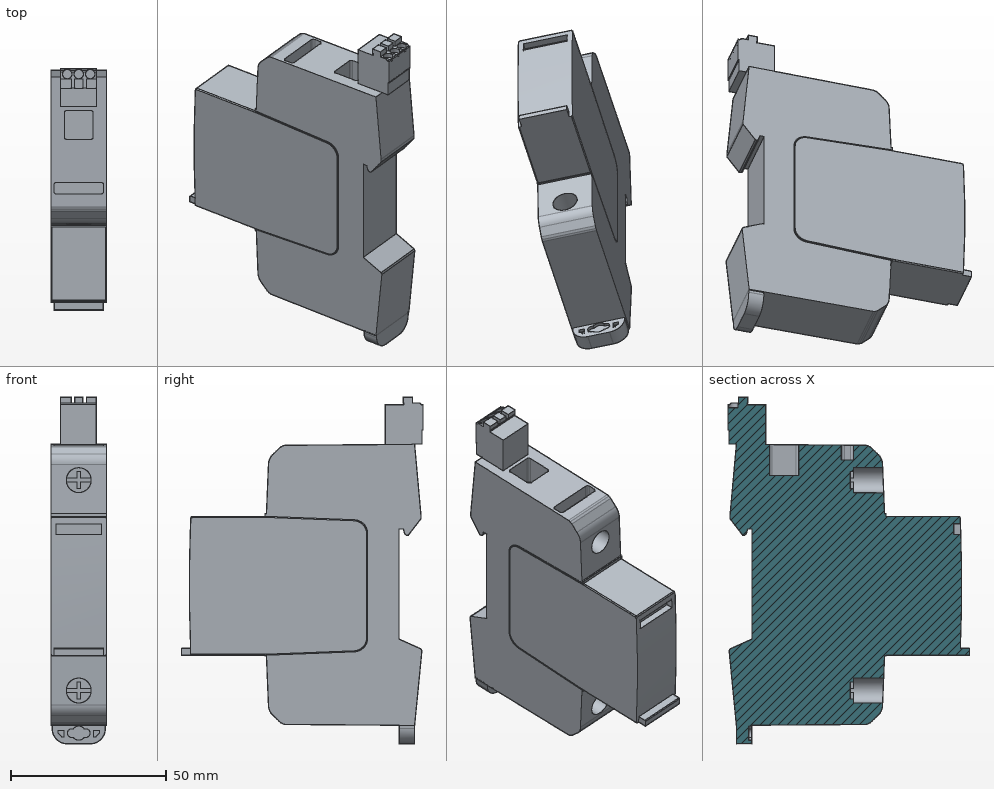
import cadquery as cq


width = 18.0
half_width = width / 2

housing_top_z = 45.25
housing_back_y = 5.05
shoulder_start_y = -36.7
shoulder_start_z = 44.95
shoulder_mid_y = -37.4
shoulder_mid_z = 44.75
shoulder_end_y = -38.2
shoulder_end_z = 44.3
bevel_end_y = -40.45
bevel_end_z = 42.1
face_start_y = -42.05
face_start_z = 38.65
face_bulge_y = -41.7
face_bulge_z = 40.4
face_end_y = -42.7
foot_back_y = 7.1
lower_hook_point = (7.4, -21.2)
lower_hook_top_z = -20.6
lower_seat_z = -17.4
upper_seat_z = 17.9
upper_hook_lip_y = 1.4
upper_hook_nose_start = (1.8, 16.4)
upper_hook_nose_inner_y = 2.35
upper_hook_nose_outer_y = 3.0
upper_hook_nose_z = 15.95
upper_hook_slope_z = 21.3
upper_hook_back_z = 22.4

module_mid_z = -0.3
module_half_height = 22.35
module_back_half_height = 21.1
module_back_y = -10.1
module_corner_radius = 4.5
module_front_y = -67.0
module_bulge = 0.5
module_edge_chamfer = 0.35
rim_front_y = -43.2
rim_half_height = 22.95

grip_width = 14.6
grip_height = 3.4
grip_mid_z = 17.95
grip_depth = 2.0
latch_width = 15.8
latch_height = 2.3
latch_front_y = -70.06
latch_chamfer = 0.3

screw_z_positions = (33.7, -34.0)
screw_hole_diameter = 8.0
screw_hole_depth = 10.0
screw_slot_height = 1.3
cross_slot_width = 1.2
cross_slot_height = 5.4
screw_slot_depth = 1.0

wire_opening_size = 9.3
wire_opening_mid_y = -10.35
wire_opening_radius = 0.8
wire_opening_depth = 10.0
marker_slot_width = 16.0
marker_slot_length = 3.8
marker_slot_mid_y = -30.7
marker_slot_radius = 0.9
marker_slot_depth = 5.0

plug_left_x = -5.9
plug_right_x = 5.65
plug_back_y = 7.78
plug_foot_back_y = 7.45
plug_front_y = -4.48
plug_step_z = 49.8
plug_top_z = 58.0
plug_ledge_z = 58.55
plug_chamfer = 0.55
button_back_y = 4.4
button_front_y = 1.3
plug_ledge_front_y = 1.5
button_top_z = 60.41
button_x_ranges = ((plug_left_x, -2.35), (-1.3, 1.3), (2.45, plug_right_x))
wire_entry_diameter = 3.0
wire_entry_pitch = 3.7
wire_entry_y = 6.0
wire_entry_depth = 1.5

clip_bottom_z = -51.2
clip_half_width = 8.6
clip_corner_radius = 5.0
clip_root_z = -44.0
clip_recess_z = -47.7
clip_recess_depth = 1.0
clip_slot_length = 7.3
clip_slot_height = 2.8
clip_bore_diameter = 4.5
clip_notch_outer_x = 6.6
clip_notch_inner_x = 4.8
clip_notch_foot_x = 5.5
clip_notch_side_z = -47.7
clip_notch_top_z = -46.9
clip_notch_bottom_z = -48.9


def box(x_range, y_range, z_range):
    """Box spanning the given limits."""
    sizes = [high - low for low, high in (x_range, y_range, z_range)]
    corner = (x_range[0], y_range[0], z_range[0])
    return cq.Workplane("XY").box(*sizes, centered=False).translate(corner)


def centered(size, middle=0.0):
    """Limits of a length placed evenly about a middle."""
    return (middle - size / 2, middle + size / 2)


def side_sketch(left_x):
    """Plane for (Y, Z) outlines, extruded toward +X."""
    return cq.Workplane("YZ", origin=(left_x, 0, 0))


def front_sketch(y):
    """Plane for (X, Z) outlines; negative lengths extrude toward +Y."""
    return cq.Workplane("XZ", origin=(0, y, 0))


def make_housing():
    housing = (
        side_sketch(-half_width)
        .moveTo(housing_back_y, housing_top_z)
        .lineTo(shoulder_start_y, shoulder_start_z)
        .lineTo(shoulder_mid_y, shoulder_mid_z)
        .lineTo(shoulder_end_y, shoulder_end_z)
        .lineTo(bevel_end_y, bevel_end_z)
        .threePointArc((face_bulge_y, face_bulge_z), (face_start_y, face_start_z))
        .lineTo(face_end_y, rim_half_height)
        .lineTo(face_end_y, -rim_half_height)
        .lineTo(face_start_y, -face_start_z)
        .threePointArc((face_bulge_y, -face_bulge_z), (bevel_end_y, -bevel_end_z))
        .lineTo(shoulder_end_y, -shoulder_end_z)
        .lineTo(shoulder_mid_y, -shoulder_mid_z)
        .lineTo(shoulder_start_y, -shoulder_start_z)
        .lineTo(housing_back_y, -housing_top_z)
        .lineTo(*lower_hook_point)
        .lineTo(foot_back_y, lower_hook_top_z)
        .lineTo(0, lower_seat_z)
        .lineTo(0, upper_seat_z)
        .lineTo(upper_hook_lip_y, upper_seat_z)
        .lineTo(*upper_hook_nose_start)
        .lineTo(upper_hook_nose_inner_y, upper_hook_nose_z)
        .lineTo(upper_hook_nose_outer_y, upper_hook_nose_z)
        .lineTo(foot_back_y, upper_hook_slope_z)
        .lineTo(foot_back_y, upper_hook_back_z)
        .close()
        .extrude(width)
    )
    rim = box(
        (-half_width, half_width),
        (rim_front_y, module_back_y - module_corner_radius),
        (-rim_half_height, rim_half_height),
    )
    return housing.union(rim)


def make_module():
    top_z = module_mid_z + module_half_height
    bottom_z = module_mid_z - module_half_height
    module = (
        side_sketch(-half_width)
        .moveTo(module_back_y, module_mid_z + module_back_half_height)
        .lineTo(face_end_y, top_z)
        .lineTo(module_front_y, top_z)
        .threePointArc((module_front_y - module_bulge, module_mid_z), (module_front_y, bottom_z))
        .lineTo(face_end_y, bottom_z)
        .lineTo(module_back_y, module_mid_z - module_back_half_height)
        .close()
        .extrude(width)
    )
    module = module.edges("|X and >Y").fillet(module_corner_radius)
    return module.edges("|X").edges("<Y").edges(">Z").chamfer(module_edge_chamfer)


def make_grip_slot():
    return box(
        centered(grip_width),
        (module_front_y - 2 * module_bulge, module_front_y + grip_depth),
        centered(grip_height, grip_mid_z),
    )


def make_latch():
    bottom_z = module_mid_z - module_half_height
    latch = box(
        centered(latch_width),
        (latch_front_y, module_front_y + module_bulge),
        (bottom_z, bottom_z + latch_height),
    )
    return latch.edges(">Z and <Y").chamfer(latch_chamfer)


def make_screw_hole(z):
    """Round hole with the cross recess of the screw head at its bottom."""
    depth_to_slot = screw_hole_depth + screw_slot_depth
    hole = front_sketch(face_end_y).center(0, z).circle(screw_hole_diameter / 2).extrude(-screw_hole_depth)
    slot_tool = front_sketch(face_end_y).center(0, z)
    long_slot = slot_tool.rect(screw_hole_diameter, screw_slot_height).extrude(-depth_to_slot)
    round_limit = slot_tool.circle(screw_hole_diameter / 2).extrude(-depth_to_slot)
    short_slot = slot_tool.rect(cross_slot_width, cross_slot_height).extrude(-depth_to_slot)
    return hole.union(long_slot.intersect(round_limit)).union(short_slot)


def make_top_opening(size_x, size_y, mid_y, radius, depth):
    """Pocket with rounded corners sunk into the top face."""
    opening = box(
        centered(size_x),
        centered(size_y, mid_y),
        (housing_top_z - depth, housing_top_z),
    )
    return opening.edges("|Z").fillet(radius)


def make_plug():
    plug = (
        side_sketch(plug_left_x)
        .moveTo(plug_front_y, housing_top_z)
        .lineTo(plug_front_y, plug_top_z)
        .lineTo(plug_ledge_front_y, plug_top_z)
        .lineTo(plug_ledge_front_y, plug_ledge_z)
        .lineTo(plug_back_y - 2 * plug_chamfer, plug_ledge_z)
        .lineTo(plug_back_y - plug_chamfer, plug_top_z)
        .lineTo(plug_back_y, plug_top_z)
        .lineTo(plug_back_y, plug_step_z)
        .lineTo(plug_foot_back_y, plug_step_z)
        .lineTo(plug_foot_back_y, housing_top_z)
        .close()
        .extrude(plug_right_x - plug_left_x)
    )
    root = box((plug_left_x, plug_right_x), (plug_front_y, housing_back_y), (shoulder_start_z, housing_top_z))
    plug = plug.union(root)
    for x_range in button_x_ranges:
        button = box(x_range, (button_front_y, button_back_y), (plug_ledge_z, button_top_z))
        plug = plug.union(button)
    wire_entries = (
        cq.Workplane("XY", origin=(0, wire_entry_y, plug_ledge_z - wire_entry_depth))
        .rarray(wire_entry_pitch, wire_entry_pitch, len(button_x_ranges), 1)
        .circle(wire_entry_diameter / 2)
        .extrude(wire_entry_depth)
    )
    return plug.cut(wire_entries)


def make_clip():
    clip = box(
        (-clip_half_width, clip_half_width),
        (0, housing_back_y),
        (clip_bottom_z, clip_root_z),
    )
    clip = clip.edges("|Y and <Z").fillet(clip_corner_radius)
    recess = front_sketch(0).center(0, clip_recess_z)
    slot = recess.slot2D(clip_slot_length, clip_slot_height).extrude(-clip_recess_depth)
    bore = recess.circle(clip_bore_diameter / 2).extrude(-clip_recess_depth)
    clip = clip.cut(slot).cut(bore)
    for side in (-1, 1):
        notch = (
            front_sketch(0)
            .moveTo(side * clip_notch_outer_x, clip_notch_top_z)
            .lineTo(side * clip_notch_inner_x, clip_notch_top_z)
            .lineTo(side * clip_notch_inner_x, clip_notch_bottom_z)
            .lineTo(side * clip_notch_foot_x, clip_notch_bottom_z)
            .lineTo(side * clip_notch_outer_x, clip_notch_side_z)
            .close()
            .extrude(-clip_recess_depth)
        )
        clip = clip.cut(notch)
    return clip


module = make_module()
housing = make_housing().cut(module)
module = module.faces("<X or >X").edges("not(<Y)").chamfer(module_edge_chamfer)
module = module.cut(make_grip_slot()).union(make_latch())

for screw_z in screw_z_positions:
    housing = housing.cut(make_screw_hole(screw_z))
housing = housing.cut(
    make_top_opening(
        wire_opening_size, wire_opening_size, wire_opening_mid_y, wire_opening_radius, wire_opening_depth
    )
)
housing = housing.cut(
    make_top_opening(
        marker_slot_width, marker_slot_length, marker_slot_mid_y, marker_slot_radius, marker_slot_depth
    )
)

result = housing.union(module).union(make_plug()).union(make_clip())